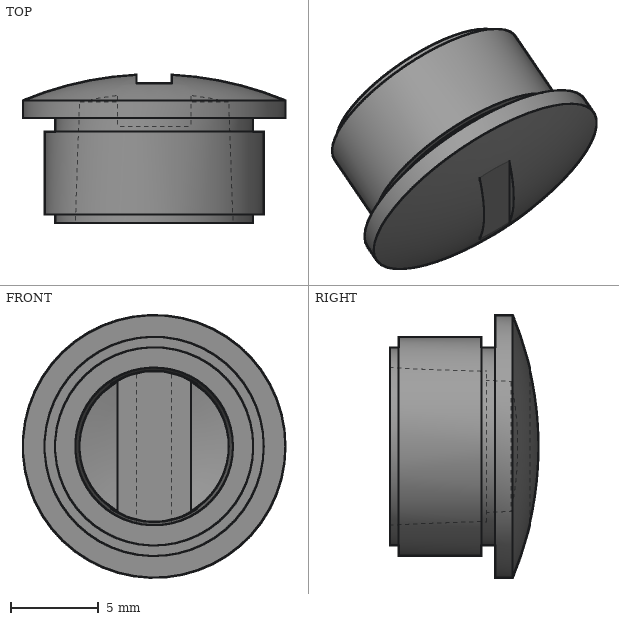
import cadquery as cq
import math

head_radius = 7.5
head_thickness = 1.0
dome_height = 1.5
neck_radius = 5.65
neck_length = 0.78
body_radius = 6.25
body_length = 4.72
tip_length = 0.5
bore_radius = 4.5
bore_taper = 2.0
wall = 1.1
slot_width = 2.0
slot_depth = 0.51
rib_bottom = 5.5

body_end = tip_length + body_length
neck_end = body_end + neck_length
rim_top = neck_end + head_thickness
apex = rim_top + dome_height
rib_width = slot_width + 2 * wall
dome_radius = (head_radius**2 + dome_height**2) / (2 * dome_height)
dome_center = apex - dome_radius


def dome_point(radius, r):
    """Point at distance r from the axis on a sphere concentric with the dome."""
    return (r, dome_center + math.sqrt(radius**2 - r**2))


def revolve_profile(profile):
    return profile.close().revolve(360, (0, 0, 0), (0, 1, 0))


def make_plug():
    """Domed head, neck, body and stepped tip."""
    profile = (
        cq.Workplane("XY")
        .lineTo(neck_radius, 0)
        .lineTo(neck_radius, tip_length)
        .lineTo(body_radius, tip_length)
        .lineTo(body_radius, body_end)
        .lineTo(neck_radius, body_end)
        .lineTo(neck_radius, neck_end)
        .lineTo(head_radius, neck_end)
        .lineTo(head_radius, rim_top)
        .threePointArc(dome_point(dome_radius, head_radius / 2), (0, apex))
    )
    return revolve_profile(profile)


def make_cavity():
    """Tapered bore ending in a dome one wall thickness below the outer dome."""
    inner_radius = dome_radius - wall
    slope = math.tan(math.radians(bore_taper))
    offset = bore_radius - slope * dome_center
    spread = 1 + slope**2
    root = math.sqrt(offset**2 - spread * (offset**2 - (slope * inner_radius) ** 2))
    end_radius = (offset - root) / spread
    profile = (
        cq.Workplane("XY")
        .lineTo(bore_radius, 0)
        .lineTo(*dome_point(inner_radius, end_radius))
        .threePointArc(dome_point(inner_radius, end_radius / 2), dome_point(inner_radius, 0))
    )
    return revolve_profile(profile)


def make_bar(width, bottom):
    """Straight bar along Z, from the given height up to the dome apex."""
    height = apex - bottom
    bar = cq.Workplane("XY").box(width, height, 2 * head_radius, centered=(True, False, True))
    return bar.translate((0, bottom, 0))


cavity = make_cavity().cut(make_bar(rib_width, rib_bottom))
slot = make_bar(slot_width, apex - slot_depth)
result = make_plug().cut(cavity).cut(slot)